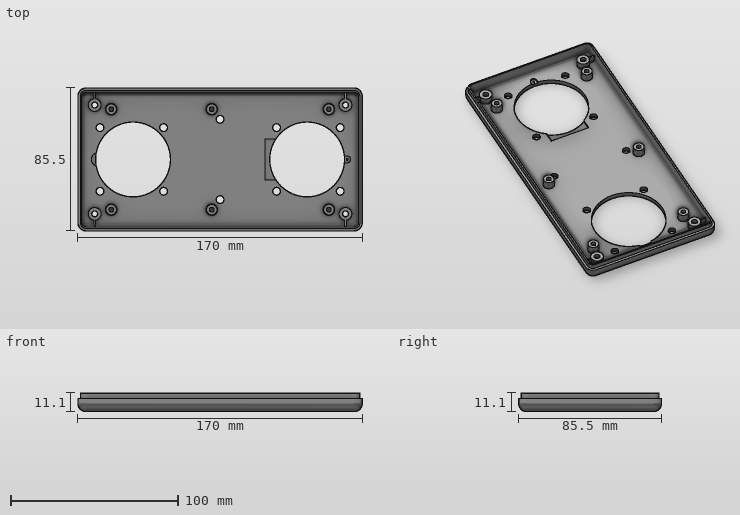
import cadquery as cq

LENGTH = 170.0
WIDTH = 85.5
HEIGHT = 11.1
FLOOR = 3.0
EDGE_RADIUS = 5.0
FILLET_CLEARANCE = 0.01

LIP_HEIGHT = 3.1
LIP_INSET = 1.5

MOUTH_INSET_X = 2.2
MOUTH_INSET_Y = 2.5
CAVITY_CORNER_RADIUS = 2.9
CAVITY_DRAFT = 3.0
FLOOR_FILLET = 2.0

OPENING_X = 52.0
OPENING_DIAMETER = 44.6
SCREW_PATTERN_X = 52.75
SCREW_PITCH = 38.0
SCREW_DIAMETER = 4.5

CENTRE_HOLE_Y = 24.0

BOSS_ROOT = FLOOR / 2

CASE_BOSS_X = 74.9
CASE_BOSS_Y = 32.5
CASE_BOSS_DIAMETER = 7.6
CASE_BOSS_HEIGHT = 4.5
CASE_BOSS_BORE = 3.4
RIB_THICKNESS = 1.0

STANDOFF_X = (-65.0, -5.0, 65.0)
STANDOFF_Y = 30.0
STANDOFF_DIAMETER = 6.3
STANDOFF_HEIGHT = 5.0
STANDOFF_BORE = 2.8
STANDOFF_DRAFT = 3.0

POCKET_X_MIN = 26.8
POCKET_WIDTH = 24.7
POCKET_DEPTH = 1.0
NOTCH_DEPTH = 1.0
NOTCH_X = 76.0
NOTCH_RADIUS = 2.0
NOTCH_PIN_BORE = 1.0
ROUND_RECESS_X = -72.9
ROUND_RECESS_RADIUS = 4.0


def rounded_block(inset, bottom, top):
    """Block with rounded vertical corners, inset from the outer walls."""
    return (
        cq.Workplane("XY")
        .workplane(offset=bottom)
        .rect(LENGTH - 2 * inset, WIDTH - 2 * inset)
        .extrude(top - bottom)
        .edges("|Z")
        .fillet(EDGE_RADIUS - inset)
    )


def cylinders(points, diameter, bottom, top):
    """Vertical cylinders at the given points."""
    return (
        cq.Workplane("XY")
        .workplane(offset=bottom)
        .pushPoints(points)
        .circle(diameter / 2)
        .extrude(top - bottom)
    )


def drafted_standoffs(points, top_diameter, top):
    """Standoffs at the given points, widening from the top down into the floor."""
    return (
        cq.Workplane("XY")
        .workplane(offset=top)
        .pushPoints(points)
        .circle(top_diameter / 2)
        .extrude(BOSS_ROOT - top, taper=-STANDOFF_DRAFT)
    )


def make_cavity():
    """Drafted cavity with a rounded edge around the floor."""
    mouth = cq.Sketch().rect(LENGTH - 2 * MOUTH_INSET_X, WIDTH - 2 * MOUTH_INSET_Y)
    mouth = mouth.vertices().fillet(CAVITY_CORNER_RADIUS)
    cavity = (
        cq.Workplane("XY")
        .workplane(offset=HEIGHT)
        .placeSketch(mouth)
        .extrude(FLOOR - HEIGHT, taper=CAVITY_DRAFT)
    )
    return cavity.faces("<Z").edges().fillet(FLOOR_FILLET)


def make_shell():
    """Open tray with a rounded bottom edge and a stepped lip."""
    body = rounded_block(0, 0, HEIGHT - LIP_HEIGHT)
    body = body.faces("<Z").edges().fillet(EDGE_RADIUS - FILLET_CLEARANCE)
    lip = rounded_block(LIP_INSET, FLOOR, HEIGHT)
    return body.union(lip).cut(make_cavity())


def add_case_bosses(part):
    """Corner bosses with wall ribs and bores through the floor."""
    case_points = [(x, y) for x in (-CASE_BOSS_X, CASE_BOSS_X) for y in (-CASE_BOSS_Y, CASE_BOSS_Y)]
    top = FLOOR + CASE_BOSS_HEIGHT
    part = part.union(cylinders(case_points, CASE_BOSS_DIAMETER, BOSS_ROOT, top))
    rib_length = WIDTH / 2 - MOUTH_INSET_Y - CASE_BOSS_Y
    rib_height = top - BOSS_ROOT
    for x, y in case_points:
        side = 1 if y > 0 else -1
        rib = cq.Workplane("XY").box(RIB_THICKNESS, rib_length, rib_height, centered=(True, True, False))
        part = part.union(rib.translate((x, y + side * rib_length / 2, BOSS_ROOT)))
    return part.cut(cylinders(case_points, CASE_BOSS_BORE, 0, top))


def add_standoffs(part):
    """Board standoffs with blind bores down to the floor."""
    standoff_points = [(x, y) for x in STANDOFF_X for y in (-STANDOFF_Y, STANDOFF_Y)]
    top = FLOOR + STANDOFF_HEIGHT
    part = part.union(drafted_standoffs(standoff_points, STANDOFF_DIAMETER, top))
    return part.cut(cylinders(standoff_points, STANDOFF_BORE, FLOOR, top))


def cut_openings(part):
    """Two round openings, each with four screw holes, and two centre-line holes."""
    centres = [(-OPENING_X, 0), (OPENING_X, 0)]
    offset = SCREW_PITCH / 2
    columns = [x + dx for x in (-SCREW_PATTERN_X, SCREW_PATTERN_X) for dx in (-offset, offset)]
    screws = [(x, y) for x in columns for y in (-offset, offset)]
    screws += [(0, -CENTRE_HOLE_Y), (0, CENTRE_HOLE_Y)]
    part = part.cut(cylinders(centres, OPENING_DIAMETER, 0, HEIGHT))
    return part.cut(cylinders(screws, SCREW_DIAMETER, 0, HEIGHT))


def cut_recesses(part):
    """Shallow recesses that open into the round openings."""
    pocket = cq.Workplane("XY").box(
        OPENING_X - POCKET_X_MIN, POCKET_WIDTH, POCKET_DEPTH, centered=(False, True, False)
    )
    part = part.cut(pocket.translate((POCKET_X_MIN, 0, FLOOR - POCKET_DEPTH)))
    notch_bottom = FLOOR - NOTCH_DEPTH
    notch = cq.Workplane("XY").box(
        NOTCH_X - OPENING_X, 2 * NOTCH_RADIUS, NOTCH_DEPTH, centered=(False, True, False)
    )
    part = part.cut(notch.translate((OPENING_X, 0, notch_bottom)))
    part = part.cut(cylinders([(NOTCH_X, 0)], 2 * NOTCH_RADIUS, notch_bottom, FLOOR))
    part = part.cut(cylinders([(NOTCH_X, 0)], NOTCH_PIN_BORE, notch_bottom - NOTCH_DEPTH, FLOOR))
    return part.cut(cylinders([(ROUND_RECESS_X, 0)], 2 * ROUND_RECESS_RADIUS, notch_bottom, FLOOR))


tray = make_shell()
tray = add_case_bosses(tray)
tray = add_standoffs(tray)
tray = cut_openings(tray)
result = cut_recesses(tray)